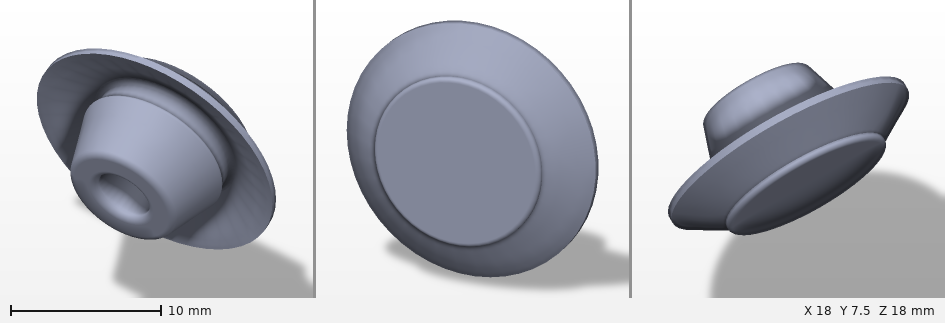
import cadquery as cq
import math

total_depth = 7.5

cap_radius = 6.0
cap_height = 0.5
cap_rounding = 0.3

flange_radius = 9.0
rim_thickness = 0.5
rim_front_depth = 3.0
rim_back_depth = rim_front_depth - rim_thickness
dish_angle = 22.0

neck_radius = 5.0
neck_fillet = 0.3
dish_drop = (flange_radius - neck_radius) * math.tan(math.radians(dish_angle))
dish_root_depth = rim_front_depth - dish_drop

plug_back_depth = rim_front_depth
plug_length = total_depth - plug_back_depth
plug_taper_angle = 17.5
plug_nose_radius = 3.96
plug_back_radius = plug_nose_radius + plug_length * math.tan(math.radians(plug_taper_angle))
plug_nose_fillet = 0.5
plug_back_fillet = 0.25

hole_depth = 4.5
hole_floor_depth = total_depth - hole_depth
hole_mouth_radius = 2.0
hole_floor_radius = 1.6
hole_fillet = 0.5

match_tolerance = 0.01


def make_sharp_body():
    """Revolve the half section, with all corners sharp, about the Y axis."""
    section = [
        (0, 0),
        (cap_radius, 0),
        (cap_radius, cap_height),
        (flange_radius, rim_back_depth),
        (flange_radius, rim_front_depth),
        (neck_radius, dish_root_depth),
        (neck_radius, plug_back_depth),
        (plug_back_radius, plug_back_depth),
        (plug_nose_radius, total_depth),
        (hole_mouth_radius, total_depth),
        (hole_floor_radius, hole_floor_depth),
        (0, hole_floor_depth),
    ]
    outline = [(radius, -depth) for radius, depth in section]
    return cq.Workplane("XY").polyline(outline).close().revolve(360, (0, 0, 0), (0, 1, 0))


def is_circle_at(edge, radius, depth):
    """Tell whether an edge is the circle of the given radius at the given depth."""
    if edge.geomType() != "CIRCLE":
        return False
    same_depth = abs(edge.Center().y + depth) < match_tolerance
    same_radius = abs(edge.radius() - radius) < match_tolerance
    return same_depth and same_radius


def round_corner(body, radius, depth, fillet):
    """Fillet the circular corner of the given radius at the given depth."""
    corner = [edge for edge in body.edges().vals() if is_circle_at(edge, radius, depth)]
    return body.newObject(corner).fillet(fillet)


def round_all_corners(body):
    body = round_corner(body, cap_radius, 0, cap_rounding)
    body = round_corner(body, neck_radius, dish_root_depth, neck_fillet)
    body = round_corner(body, plug_back_radius, plug_back_depth, plug_back_fillet)
    body = round_corner(body, plug_nose_radius, total_depth, plug_nose_fillet)
    body = round_corner(body, hole_mouth_radius, total_depth, hole_fillet)
    body = round_corner(body, hole_floor_radius, hole_floor_depth, hole_fillet)
    return body


result = round_all_corners(make_sharp_body())